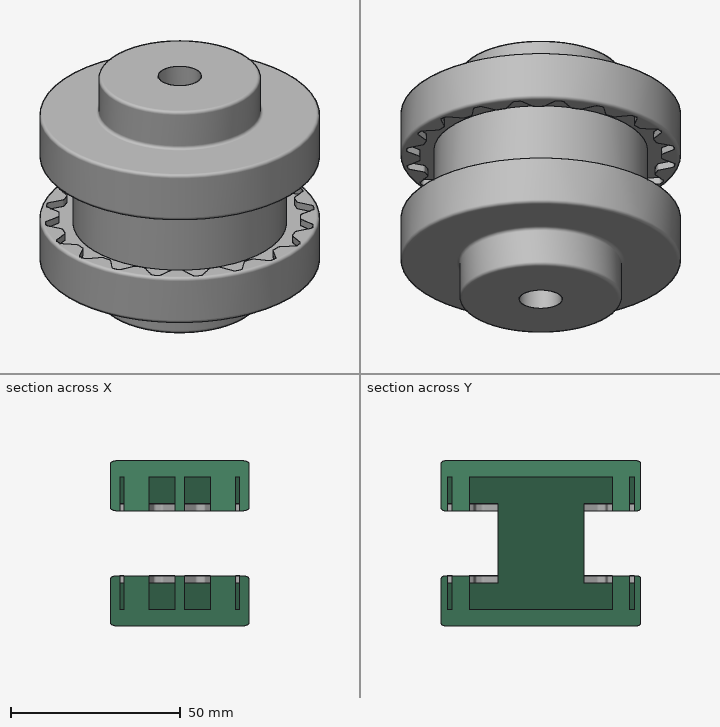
import cadquery as cq
import math


total_length = 73.1
bore_diameter = 12.7

flange_diameter = 82.5
flange_thickness = 14.9
flange_gap = 19.0
hub_diameter = 47.7
edge_radius = 1.0

sleeve_diameter = 63.0
tooth_count = 20
tooth_root_radius = 35.6
tooth_tip_radius = 39.85
root_half_angle = 6.6
tip_half_angle = 1.7
tooth_rounding = 1.1
sleeve_recess = 2.15
pocket_depth = 9.9

inner_face = flange_gap / 2
outer_face = inner_face + flange_thickness
hub_end = total_length / 2
pocket_floor = inner_face + pocket_depth
tooth_end = inner_face + sleeve_recess


def polar_point(radius, degrees):
    """Point in the XY plane at a radius and an angle from +X."""
    angle = math.radians(degrees)
    return (radius * math.cos(angle), radius * math.sin(angle))


def cylinder(diameter, bottom, top):
    """Cylinder on the Z axis between two heights."""
    return cq.Workplane("XY").workplane(offset=bottom).circle(diameter / 2).extrude(top - bottom)


def toothed_disc(bottom, top):
    """Disc with rounded trapezoidal teeth, the shape of the sleeve ends and of the flange pockets."""
    pitch = 360 / tooth_count
    outline = []
    for index in range(tooth_count):
        middle = (index + 0.5) * pitch
        outline.append(polar_point(tooth_root_radius, middle - root_half_angle))
        outline.append(polar_point(tooth_tip_radius, middle - tip_half_angle))
        outline.append(polar_point(tooth_tip_radius, middle + tip_half_angle))
        outline.append(polar_point(tooth_root_radius, middle + root_half_angle))
    disc = cq.Workplane("XY").workplane(offset=bottom).polyline(outline).close().extrude(top - bottom)
    return disc.edges("|Z").fillet(tooth_rounding)


def make_flange(side):
    """Flange above (side +1) or below (side -1): disc, hub, bore and a toothed pocket in the inner face."""
    disc = cylinder(flange_diameter, inner_face, outer_face)
    hub = cylinder(hub_diameter, inner_face, hub_end)
    body = disc.union(hub).edges("%CIRCLE").fillet(edge_radius)
    body = body.cut(toothed_disc(inner_face, pocket_floor))
    body = body.cut(cylinder(bore_diameter, inner_face, hub_end))
    return body if side > 0 else body.mirror("XY")


def make_sleeve():
    """Sleeve: plain barrel with a toothed disc at each end, bored through."""
    upper_teeth = toothed_disc(tooth_end, pocket_floor)
    lower_teeth = upper_teeth.mirror("XY")
    body = cylinder(sleeve_diameter, -pocket_floor, pocket_floor).union(upper_teeth).union(lower_teeth)
    return body.cut(cylinder(bore_diameter, -pocket_floor, pocket_floor))


flanges = [make_flange(side) for side in (1, -1)]
sleeve = make_sleeve()

result = cq.Compound.makeCompound([*(flange.val() for flange in flanges), sleeve.val()])